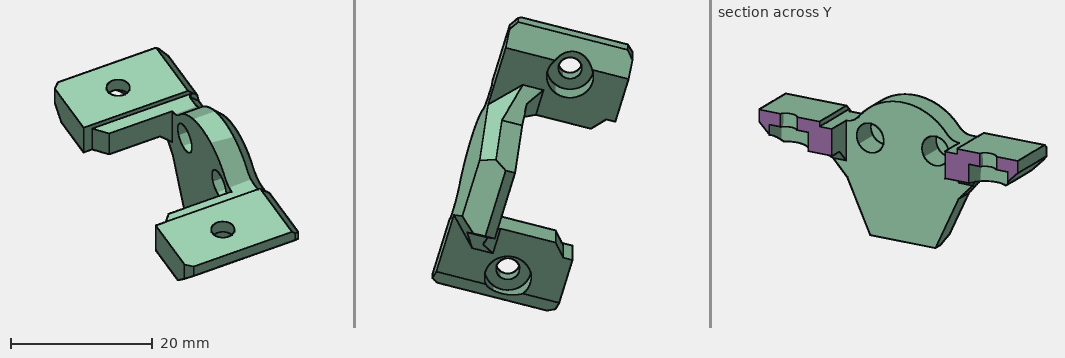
import cadquery as cq
import math


length = 42.2
depth = 18.0
height = 20.95
half_length = length / 2

plate_thickness = 5.0
bottom_half_width = 5.3
knee_x = 9.07
knee_z = 8.05
shoulder_x = 10.7
shoulder_z = 16.55
boss_radius = 9.3
boss_fillet = 2.5
back_chamfer = 1.48
side_bevel = 2.0
bottom_bevel_depth = 3.6
bottom_bevel_height = 3.0

pin_diameter = 4.4
pin_depth = 4.0
pin_x = 5.3
pin_z = 14.6

wing_bottom = 12.45
wing_top = 17.3
wing_inner_x = 11.2
wing_end_bevel = 3.0
wing_corner_chamfer = 0.95
ledge_inner_x = 9.2
ledge_front_y = -16.65
ledge_chamfer_y = -15.0

gusset_x = 13.2
gusset_drop = 1.95

mount_x = 16.25
mount_y = -9.95
mount_diameter = 3.3
counterbore_diameter = 6.6
counterbore_depth = 2.83

cut_reach = 8.45
clearance = 0.42


def extrude_front(points, thickness):
    """Extrude an XZ outline from the back face toward -Y."""
    return cq.Workplane("XZ").polyline(points).close().extrude(thickness)


def make_upper_plate():
    """Rounded boss blending into flat shoulders, chamfered along its back top edge."""
    boss_z = height - boss_radius
    fillet_z = shoulder_z + boss_fillet
    rise = fillet_z - boss_z
    centre_distance = boss_radius + boss_fillet
    fillet_x = math.sqrt(centre_distance**2 - rise**2)
    tangent_x = fillet_x * boss_radius / centre_distance
    tangent_z = boss_z + rise * boss_radius / centre_distance
    mid_angle = (math.atan2(rise, fillet_x) + math.pi / 2) / 2
    fillet_mid_x = fillet_x - boss_fillet * math.cos(mid_angle)
    fillet_mid_z = fillet_z - boss_fillet * math.sin(mid_angle)
    plate = (
        cq.Workplane("XZ")
        .moveTo(-shoulder_x, wing_bottom)
        .lineTo(-shoulder_x, shoulder_z)
        .lineTo(-fillet_x, shoulder_z)
        .threePointArc((-fillet_mid_x, fillet_mid_z), (-tangent_x, tangent_z))
        .threePointArc((0, height), (tangent_x, tangent_z))
        .threePointArc((fillet_mid_x, fillet_mid_z), (fillet_x, shoulder_z))
        .lineTo(shoulder_x, shoulder_z)
        .lineTo(shoulder_x, wing_bottom)
        .close()
        .extrude(plate_thickness)
    )
    top_back_edges = cq.selectors.BoxSelector(
        (-shoulder_x, -clearance, shoulder_z - clearance),
        (shoulder_x, clearance, height + clearance)
    )
    return plate.edges(top_back_edges).chamfer(back_chamfer)


def make_lower_plate():
    """Tapered plate with side gussets, bevelled around the back of its rim."""
    gusset_depth = plate_thickness + gusset_drop
    half_outline = [(bottom_half_width, 0), (knee_x, knee_z), (gusset_x, wing_bottom)]
    mirrored = [(-x, z) for x, z in reversed(half_outline)]
    plate = extrude_front(half_outline + mirrored, gusset_depth)

    front_cut = (
        cq.Workplane("YZ")
        .polyline([
            (-plate_thickness, -clearance),
            (-plate_thickness, wing_bottom - gusset_drop),
            (-gusset_depth, wing_bottom),
            (-gusset_depth - clearance, wing_bottom),
            (-gusset_depth - clearance, -clearance),
        ])
        .close()
        .extrude(half_length, both=True)
    )
    centre_cut = cq.Workplane("XY").box(
        2 * ledge_inner_x, gusset_drop, wing_bottom, centered=(True, False, False)
    ).translate((0, -gusset_depth, 0))
    bottom_cut = (
        cq.Workplane("YZ")
        .polyline([(0, 0), (0, bottom_bevel_height), (-bottom_bevel_depth, 0)])
        .close()
        .extrude(half_length, both=True)
    )
    plate = plate.cut(front_cut).cut(centre_cut).cut(bottom_cut)

    edge_length = math.hypot(knee_x - bottom_half_width, knee_z)
    outward = (knee_z / edge_length, 0, (bottom_half_width - knee_x) / edge_length)
    along = (-outward[2], 0, outward[0])
    side_plane = cq.Plane((bottom_half_width, 0, 0), xDir=outward, normal=along)
    side_cut = (
        cq.Workplane(side_plane)
        .polyline([
            (-side_bevel, 0),
            (cut_reach, -side_bevel - cut_reach),
            (cut_reach, 0),
        ])
        .close()
        .extrude(height, both=True)
    )
    return plate.cut(side_cut).cut(side_cut.mirror("YZ"))


def make_wing():
    """Right wing block with a bevelled end and a chamfered back edge."""
    wing = extrude_front(
        [
            (wing_inner_x, wing_bottom),
            (half_length - wing_end_bevel, wing_bottom),
            (half_length, wing_bottom + wing_end_bevel),
            (half_length, wing_top),
            (wing_inner_x, wing_top),
        ],
        depth,
    )
    footprint = (
        cq.Workplane("XY")
        .workplane(offset=wing_bottom)
        .moveTo(wing_inner_x, 0)
        .lineTo(half_length - wing_corner_chamfer, 0)
        .lineTo(half_length, -wing_corner_chamfer)
        .lineTo(half_length, -depth + wing_corner_chamfer)
        .lineTo(half_length - wing_corner_chamfer, -depth)
        .lineTo(wing_inner_x, -depth)
        .close()
        .extrude(wing_top - wing_bottom)
    )
    back_cut = (
        cq.Workplane("YZ")
        .polyline([(0, wing_top), (0, wing_top - back_chamfer), (-back_chamfer, wing_top)])
        .close()
        .extrude(half_length)
    )
    return wing.intersect(footprint).cut(back_cut)


def make_ledge():
    """Low ledge along the wing, blended into the plate's back chamfer."""
    ledge_height = shoulder_z - wing_bottom
    ledge = (
        cq.Workplane("XY")
        .workplane(offset=wing_bottom)
        .polyline([
            (ledge_inner_x, -plate_thickness),
            (ledge_inner_x, ledge_chamfer_y),
            (wing_inner_x, ledge_front_y),
            (wing_inner_x, -plate_thickness),
        ])
        .close()
        .extrude(ledge_height)
    )

    def blend_section(chamfer):
        return [
            (0, wing_bottom),
            (0, shoulder_z - chamfer),
            (-chamfer, shoulder_z),
            (-plate_thickness, shoulder_z),
            (-plate_thickness, wing_bottom),
        ]

    wing_side_chamfer = back_chamfer - (wing_top - shoulder_z)
    blend = (
        cq.Workplane("YZ", origin=(shoulder_x, 0, 0))
        .polyline(blend_section(back_chamfer))
        .close()
        .workplane(offset=wing_inner_x - shoulder_x)
        .polyline(blend_section(wing_side_chamfer))
        .close()
        .loft(ruled=True)
    )
    return ledge.union(blend)


def make_mount_hole():
    """Cutter for a through hole counterbored from below."""
    hole = cq.Workplane("XY", origin=(mount_x, mount_y, wing_bottom))
    through = hole.circle(mount_diameter / 2).extrude(wing_top - wing_bottom)
    counterbore = hole.circle(counterbore_diameter / 2).extrude(counterbore_depth)
    return through.union(counterbore)


right_wing = make_wing().union(make_ledge()).cut(make_mount_hole())
pin_holes = (
    cq.Workplane("XZ", origin=(0, -plate_thickness, 0))
    .pushPoints([(-pin_x, pin_z), (pin_x, pin_z)])
    .circle(pin_diameter / 2)
    .extrude(-pin_depth)
)

result = (
    make_upper_plate()
    .union(make_lower_plate())
    .union(right_wing)
    .union(right_wing.mirror("YZ"))
    .cut(pin_holes)
    .clean()
)